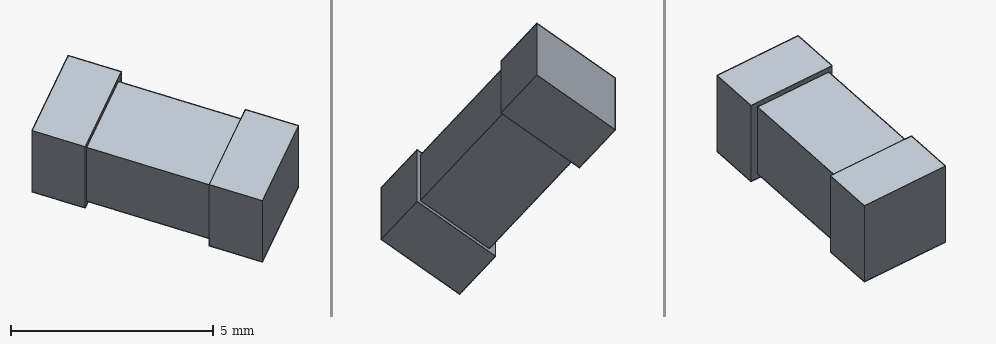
import cadquery as cq

overall_length = 6.1
cap_side = 2.5
cap_length = 1.41

core_side = 2.195
core_shift_y = -0.05
core_length = overall_length - 2 * cap_length


def make_core():
    """Square bar spanning the gap between the two end caps."""
    return cq.Workplane("XY").box(core_length, core_side, core_side).translate((0, core_shift_y, 0))


def make_end_cap(side):
    """Square block at one end; side is -1 for the -X end and +1 for the +X end."""
    center_x = side * (core_length + cap_length) / 2
    return cq.Workplane("XY").box(cap_length, cap_side, cap_side).translate((center_x, 0, 0))


core = make_core()
end_caps = [make_end_cap(side) for side in (-1, 1)]

result = cq.Compound.makeCompound([core.val(), *[cap.val() for cap in end_caps]])